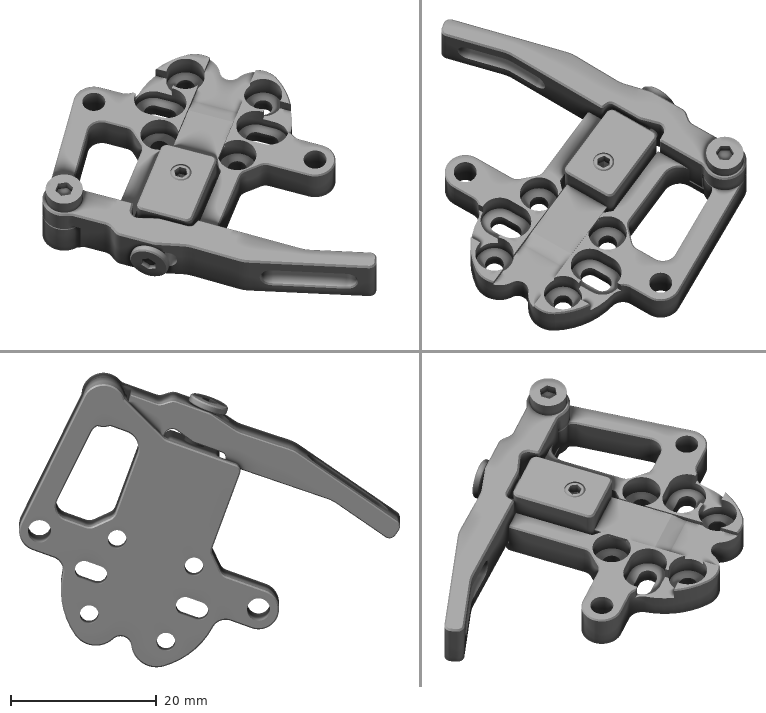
import cadquery as cq
import math


base_thickness = 5.0
base_chamfer = 0.2
head_radius = 11.1
lobe_x = 4.45
lobe_y = 6.15
lobe_radius = 3.5
notch_bottom_y = 6.95
ear_x = 16.0
ear_y = -3.0
ear_radius = 2.8
ear_flat_end = 0.005
ear_hole_diameter = 3.15
ear_fillet = 1.95
column_x = 7.1
front_y = -21.0
step_y = -20.2
shelf_z = 1.55
shelf_start_x = -10.95
shelf_end_x = -4.2
shelf_end_radius = 1.95
shelf_root_x = -11.45
shelf_root_y = -24.4
column_corner_radius = 1.0
shoulder_fillet = 1.5
shoulder_wall_radius = 3.0

hole_pitch = 11.25
hole_diameter = 2.55
counterbore_diameter = 5.25
counterbore_z = 1.95
slot_x = 7.4
slot_travel = 2.0

flat_z = 3.4
flat_inner_x = 6.6
flat_low_y = 0.25
flat_high_y = 5.2
flat_fillet = 0.75

arm_width = 3.1
window_radius = 1.95
window_front_radius = 2.45

channel_width = 6.65
channel_z = 4.35
pocket_width = 8.75
pocket_top_y = -8.0
pocket_corner = 1.0

block_width = 8.0
block_back_y = -9.05
block_front_y = -21.05
block_top_z = 8.1
block_corner = 0.9
block_chamfer = 0.25
tongue_width = 6.5
tongue_top_z = 4.85
tongue_tip_y = 1.9
tongue_ramp_length = 2.1

set_screw_y = -13.25
set_screw_diameter = 2.9
set_screw_length = 4.05
set_screw_chamfer = 0.25
set_screw_hex_corners = 1.9
set_screw_hex_depth = 1.5
set_screw_point_depth = 0.45
set_screw_point_taper = 60

pivot_x = -13.8
pivot_y = -22.57
pivot_boss_radius = 3.0
pivot_shank_diameter = 3.0
pivot_head_diameter = 5.15
pivot_head_height = 1.95
pivot_hex_corners = 2.5
pivot_hex_depth = 1.25
washer_thickness = 0.65
socket_turn = 30

lever_top_z = block_top_z
lever_top_chamfer = 0.25
lever_bottom_chamfer = 0.15
lever_relief_radius = 3.15
lever_neck_fillet = 1.5
handle_angle = math.radians(15)
handle_root_x = 13.1
handle_root_y = -25.35
handle_length = 18.2
handle_width = 2.75
lever_back_y = -20.3
lever_front_y = -26.25
neck_front_y = -25.05
middle_front_y = -25.15
handle_bend = 8.3
handle_bend_radius = 4.95
gap_left_x = -4.25
gap_right_x = 4.4
gap_y = -21.7
gap_deep_y = -22.8
gap_ramp_x = -0.4
gap_deep_radius = 1.1
gap_radius = 0.75
gap_left_slope = 0.3
gap_right_slope = 0.45
gap_rim_radius = 0.3
bulge_neck_x = -6.5
bulge_left_x = -4.95
bulge_right_x = 0.5
bulge_end_x = 4.95
bulge_radius = 1.5
handle_tip_radius = 1.0
handle_slot_middle = 8.95
handle_slot_length = 13.15
handle_slot_width = 2.9
handle_slot_chamfer = 0.2

lever_screw_z = 4.75
lever_screw_head_diameter = 5.5
lever_screw_head_height = 1.1
lever_screw_head_chamfer = 0.2
lever_screw_shank_diameter = 2.9
lever_screw_tip_diameter = 2.0
lever_screw_tip_length = 2.95
lever_screw_hex_corners = 2.35
lever_screw_hex_depth = 0.75
lever_hole_x = 0.95
lever_hole_length = 5.4
lever_hole_width = 3.0


def rounded_outline(corners):
    """Closed outline through corners (x, y, radius); radius 0 keeps a corner sharp."""
    path = None
    count = len(corners)
    for i, (x, y, radius) in enumerate(corners):
        before, after = corners[i - 1], corners[(i + 1) % count]
        corner = cq.Vector(x, y)
        to_before = (cq.Vector(before[0], before[1]) - corner).normalized()
        to_after = (cq.Vector(after[0], after[1]) - corner).normalized()
        half_angle = to_before.getAngle(to_after) / 2
        setback = radius / math.tan(half_angle)
        start = corner + to_before * setback
        end = corner + to_after * setback
        bisector = (to_before + to_after).normalized()
        middle = corner + bisector * (radius / math.sin(half_angle) - radius)
        if path is None:
            path = cq.Workplane("XY").moveTo(start.x, start.y)
        else:
            path = path.lineTo(start.x, start.y)
        if radius > 0:
            path = path.threePointArc((middle.x, middle.y), (end.x, end.y))
    return path.close()


def cylinder(x, y, z_low, z_high, diameter):
    return cq.Workplane("XY", origin=(x, y, z_low)).circle(diameter / 2).extrude(z_high - z_low)


def block_between(x_low, x_high, y_low, y_high, z_low, z_high):
    size = (x_high - x_low, y_high - y_low, z_high - z_low)
    return cq.Workplane("XY", origin=(x_low, y_low, z_low)).box(*size, centered=False)


def vertical_edges_near(body, x, y, reach=0.25):
    region = cq.selectors.BoxSelector((x - reach, y - reach, -0.5), (x + reach, y + reach, lever_top_z + 0.5))
    return body.edges("|Z").edges(region)


def left_edge_line():
    """Outward direction and offset of the line touching left ear and pivot boss."""
    dx, dy = pivot_x + ear_x, pivot_y - ear_y
    turn = math.acos((ear_radius - pivot_boss_radius) / math.hypot(dx, dy))
    angle = math.atan2(dy, dx) - turn
    nx, ny = math.cos(angle), math.sin(angle)
    return nx, ny, -nx * ear_x + ny * ear_y + ear_radius


edge_nx, edge_ny, edge_offset = left_edge_line()


def left_edge_x(y, inset=0.0):
    return (edge_offset - inset - edge_ny * y) / edge_nx


ear_top_y = ear_y + ear_radius
ear_bottom_y = ear_y - ear_radius
hole_offset = hole_pitch / 2

shoulder_sum = hole_offset * 2 + shoulder_wall_radius * math.sqrt(2)
shoulder_x = shoulder_sum + ear_bottom_y
shoulder_y = column_x - shoulder_sum


def head_outline():
    """Round head with two lobes and a rounded notch between them."""
    lobe_distance = math.hypot(lobe_x, lobe_y)
    join_x = lobe_x / lobe_distance * head_radius
    join_y = lobe_y / lobe_distance * head_radius
    rise = notch_bottom_y - lobe_y
    notch_radius = (lobe_x**2 + rise**2 - lobe_radius**2) / (2 * (lobe_radius - rise))
    share = lobe_radius / (lobe_radius + notch_radius)
    notch_x = lobe_x * (1 - share)
    notch_y = lobe_y + (rise + notch_radius) * share
    lobe_top = (lobe_x, lobe_y + lobe_radius)
    return (
        cq.Workplane("XY")
        .moveTo(join_x, join_y)
        .threePointArc(lobe_top, (notch_x, notch_y))
        .threePointArc((0, notch_bottom_y), (-notch_x, notch_y))
        .threePointArc((-lobe_top[0], lobe_top[1]), (-join_x, join_y))
        .threePointArc((0, -head_radius), (join_x, join_y))
        .close()
    )


def frame_outline():
    """Ears, left arm and columns; the slanted shelf edge ends on the pivot boss."""
    ear_end_x = ear_x + ear_radius
    ear_end_radius = ear_radius - ear_flat_end
    return rounded_outline([
        (left_edge_x(ear_top_y), ear_top_y, ear_radius),
        (ear_end_x, ear_top_y, ear_end_radius),
        (ear_end_x, ear_bottom_y, ear_end_radius),
        (shoulder_x, ear_bottom_y, shoulder_fillet),
        (column_x, shoulder_y, shoulder_fillet),
        (column_x, front_y, column_corner_radius),
        (shelf_end_x, front_y, shelf_end_radius),
        (shelf_root_x, shelf_root_y, 0),
        (pivot_x, pivot_y, 0),
        (pivot_x + pivot_boss_radius * edge_nx, pivot_y + pivot_boss_radius * edge_ny, 0),
    ])


def window_outline():
    return rounded_outline([
        (left_edge_x(ear_bottom_y, arm_width), ear_bottom_y, window_radius),
        (-shoulder_x, ear_bottom_y, shoulder_fillet),
        (-column_x, shoulder_y, shoulder_fillet),
        (-column_x, step_y, window_front_radius),
        (left_edge_x(step_y, arm_width), step_y, window_radius),
    ])


def head_disc():
    """The head without the part of its circle that lies below the ears."""
    below = block_between(-head_radius, head_radius, -head_radius, ear_bottom_y, 0, base_thickness)
    return head_outline().extrude(base_thickness).cut(below)


def make_plate():
    plate = frame_outline().extrude(base_thickness).union(head_disc())
    for side in (-1, 1):
        corner_x = side * math.sqrt(head_radius**2 - ear_top_y**2)
        plate = vertical_edges_near(plate, corner_x, ear_top_y).fillet(ear_fillet)
    boss = cylinder(pivot_x, pivot_y, 0, base_thickness, 2 * pivot_boss_radius)
    plate = plate.cut(window_outline().extrude(base_thickness)).union(boss)
    return plate.faces("<Z or >Z").edges().chamfer(base_chamfer)


def cut_shelf(base):
    """Lower the front of the base under the lever, then restore the round boss."""
    boss_front_y = pivot_y - pivot_boss_radius
    back_room = block_between(pivot_x, column_x, pivot_y, step_y, shelf_z, base_thickness)
    front_room = block_between(shelf_start_x, column_x, boss_front_y, pivot_y, shelf_z, base_thickness)
    boss = cylinder(pivot_x, pivot_y, 0, base_thickness, 2 * pivot_boss_radius)
    boss = boss.faces("<Z or >Z").edges().chamfer(base_chamfer)
    shank_hole = cylinder(pivot_x, pivot_y, 0, base_thickness, pivot_shank_diameter)
    return base.cut(back_room).cut(front_room).union(boss).cut(shank_hole)


def cut_side_flats(base):
    for side in (-1, 1):
        x_low, x_high = sorted((side * flat_inner_x, side * (head_radius + ear_fillet)))
        room = block_between(x_low, x_high, flat_low_y, flat_high_y, flat_z, base_thickness)
        room = vertical_edges_near(room, side * flat_inner_x, flat_high_y).fillet(flat_fillet)
        base = base.cut(room)
    return base


def cut_screw_holes(base):
    for side in (-1, 1):
        for y in (-hole_offset, hole_offset):
            x = side * hole_offset
            base = base.cut(cylinder(x, y, 0, base_thickness, hole_diameter))
            base = base.cut(cylinder(x, y, counterbore_z, base_thickness, counterbore_diameter))
        for z_low, width in ((0, hole_diameter), (counterbore_z, counterbore_diameter)):
            slot = cq.Workplane("XY", origin=(side * slot_x, 0, z_low)).slot2D(slot_travel + width, width)
            base = base.cut(slot.extrude(base_thickness - z_low))
        base = base.cut(cylinder(side * ear_x, ear_y, 0, base_thickness, ear_hole_diameter))
    return base


def cut_slider_seat(base):
    """Shallow channel for the tongue and deep pocket for the block."""
    half_channel = channel_width / 2
    head_top_y = lobe_y + lobe_radius
    channel = block_between(-half_channel, half_channel, pocket_top_y, head_top_y, channel_z, base_thickness)
    half_pocket = pocket_width / 2
    pocket = block_between(-half_pocket, half_pocket, front_y, pocket_top_y, shelf_z, base_thickness)
    pocket = pocket.edges("|Z and >Y").chamfer(pocket_corner)
    return base.cut(channel).cut(pocket)


def make_base():
    base = cut_shelf(make_plate())
    base = cut_side_flats(base)
    base = cut_screw_holes(base)
    return cut_slider_seat(base)


def make_set_screw():
    low_z = block_top_z - set_screw_length
    screw = cylinder(0, set_screw_y, low_z, block_top_z, set_screw_diameter)
    screw = screw.faces(">Z").edges().chamfer(set_screw_chamfer)
    screw = screw.faces(">Z").workplane().polygon(6, set_screw_hex_corners).cutBlind(-set_screw_hex_depth)
    socket_bottom = cq.Workplane("XY", origin=(0, set_screw_y, block_top_z - set_screw_hex_depth))
    point = socket_bottom.polygon(6, set_screw_hex_corners)
    return screw.cut(point.extrude(-set_screw_point_depth, taper=set_screw_point_taper))


def make_pivot_screw():
    head_top_z = lever_top_z + pivot_head_height
    shank = cylinder(pivot_x, pivot_y, 0, lever_top_z, pivot_shank_diameter)
    head = cylinder(pivot_x, pivot_y, lever_top_z, head_top_z, pivot_head_diameter)
    socket = (
        cq.Workplane("XY", origin=(pivot_x, pivot_y, head_top_z))
        .transformed(rotate=(0, 0, socket_turn))
        .polygon(6, pivot_hex_corners)
        .extrude(-pivot_hex_depth)
    )
    return head.union(shank).cut(socket)


def screw_cylinder(front, back, diameter):
    """Round bar along Y on the axis of the lever screw."""
    plane = cq.Workplane("XZ", origin=(0, front, lever_screw_z))
    return plane.circle(diameter / 2).extrude(front - back)


def lever_screw_tip():
    return screw_cylinder(block_front_y, block_front_y + lever_screw_tip_length, lever_screw_tip_diameter)


def make_lever_screw():
    head_front_y = lever_front_y - lever_screw_head_height
    head = screw_cylinder(head_front_y, lever_front_y, lever_screw_head_diameter)
    head = head.edges().chamfer(lever_screw_head_chamfer)
    shank = screw_cylinder(lever_front_y, block_front_y, lever_screw_shank_diameter)
    socket = (
        cq.Workplane("XZ", origin=(0, head_front_y, lever_screw_z))
        .transformed(rotate=(0, 0, socket_turn))
        .polygon(6, lever_screw_hex_corners)
        .extrude(-lever_screw_hex_depth)
    )
    return head.union(shank).union(lever_screw_tip()).cut(socket)


def make_slider():
    half_block = block_width / 2
    block = block_between(-half_block, half_block, block_front_y, block_back_y, shelf_z, block_top_z)
    block = block.edges("|Z").fillet(block_corner).faces(">Z").edges().chamfer(block_chamfer)
    tongue = (
        cq.Workplane("YZ")
        .moveTo(block_back_y - block_corner, channel_z)
        .lineTo(tongue_tip_y, channel_z)
        .lineTo(tongue_tip_y - tongue_ramp_length, tongue_top_z)
        .lineTo(block_back_y - block_corner, tongue_top_z)
        .close()
        .extrude(tongue_width / 2, both=True)
    )
    set_screw_hole = cylinder(0, set_screw_y, block_top_z - set_screw_length, block_top_z, set_screw_diameter)
    return block.union(tongue).cut(set_screw_hole).cut(lever_screw_tip())


along_x, along_y = math.cos(handle_angle), math.sin(handle_angle)


def handle_point(distance, depth):
    """Point at a distance from the handle root and a depth behind its front face."""
    x = handle_root_x + distance * along_x - depth * along_y
    y = handle_root_y + distance * along_y + depth * along_x
    return x, y


def slanted_slot(x, y, length, width):
    """Slot outline on a plane parallel to the front face of the handle."""
    plane = cq.Plane((x, y, lever_screw_z), xDir=(along_x, along_y, 0), normal=(along_y, -along_x, 0))
    return cq.Workplane(plane).slot2D(length, width)


def lever_outline():
    tip_front = handle_point(handle_length, 0)
    tip_back = handle_point(handle_length, handle_width)
    bend_back = handle_point(handle_bend, handle_width)
    return rounded_outline([
        (pivot_x, lever_back_y, 0),
        (gap_left_x - gap_left_slope, lever_back_y, gap_rim_radius),
        (gap_left_x, gap_deep_y, gap_deep_radius),
        (gap_ramp_x, gap_y, bulge_radius),
        (gap_right_x, gap_y, gap_radius),
        (gap_right_x + gap_right_slope, lever_back_y, gap_rim_radius),
        (bend_back[0], bend_back[1], handle_bend_radius),
        (tip_back[0], tip_back[1], handle_tip_radius),
        (tip_front[0], tip_front[1], handle_tip_radius),
        (handle_root_x, handle_root_y, handle_bend_radius),
        (bulge_end_x, middle_front_y, handle_bend_radius),
        (bulge_right_x, lever_front_y, bulge_radius),
        (bulge_left_x, lever_front_y, bulge_radius),
        (bulge_neck_x, neck_front_y, bulge_radius),
        (pivot_x, neck_front_y, 0),
    ])


def make_lever():
    height = lever_top_z - shelf_z
    arm = lever_outline().extrude(height).translate((0, 0, shelf_z))
    lever = arm.union(cylinder(pivot_x, pivot_y, shelf_z, lever_top_z, 2 * pivot_boss_radius))
    for y in (lever_back_y, neck_front_y):
        neck_x = pivot_x + math.sqrt(pivot_boss_radius**2 - (y - pivot_y) ** 2)
        lever = vertical_edges_near(lever, neck_x, y).fillet(lever_neck_fillet)
    lever = lever.faces(">Z").edges().chamfer(lever_top_chamfer)
    lever = lever.faces("<Z").edges().chamfer(lever_bottom_chamfer)

    washer_top_z = base_thickness + washer_thickness
    relief = cylinder(pivot_x, pivot_y, shelf_z, washer_top_z, 2 * lever_relief_radius)
    relief_end_x = pivot_x + lever_relief_radius
    front_room = block_between(pivot_x, relief_end_x, lever_front_y, pivot_y, shelf_z, washer_top_z)
    lever = lever.cut(relief).cut(front_room)
    lever = lever.cut(cylinder(pivot_x, pivot_y, washer_top_z, lever_top_z, pivot_shank_diameter))

    x, y = handle_point(handle_slot_middle, 0)
    lever = lever.cut(slanted_slot(x, y, handle_slot_length, handle_slot_width).extrude(-2 * handle_width))
    flare = 2 * handle_slot_chamfer
    rim = slanted_slot(x, y, handle_slot_length + flare, handle_slot_width + flare)
    lever = lever.cut(rim.extrude(-handle_slot_chamfer, taper=45))

    hole = slanted_slot(lever_hole_x, lever_front_y, lever_hole_length, lever_hole_width)
    return lever.cut(hole.extrude(2 * handle_width, both=True))


def make_washer():
    top_z = base_thickness + washer_thickness
    washer = cylinder(pivot_x, pivot_y, base_thickness, top_z, 2 * pivot_boss_radius)
    return washer.cut(cylinder(pivot_x, pivot_y, base_thickness, top_z, pivot_shank_diameter))


base = make_base()
slider = make_slider()
lever = make_lever()
washer = make_washer()
pivot_screw = make_pivot_screw()
lever_screw = make_lever_screw()
set_screw = make_set_screw()

result = cq.Compound.makeCompound([
    base.val(),
    slider.val(),
    lever.val(),
    washer.val(),
    pivot_screw.val(),
    lever_screw.val(),
    set_screw.val(),
])